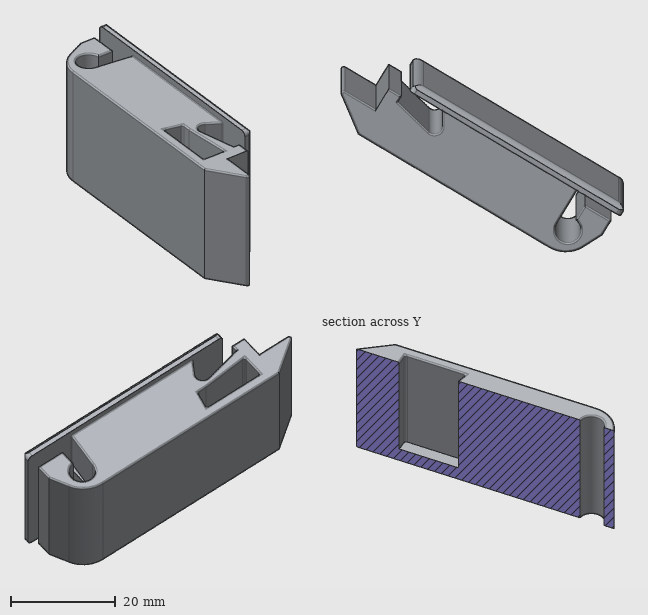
import cadquery as cq
import math

plate_length = 47.0
plate_height = 28.0
plate_front = 12.5
plate_rim = 1.0
plate_dome = 1.0
plate_back = plate_front + plate_rim + plate_dome
plate_corner_radius = 1.0
plate_edge_radius = 2.0

body_height = 25.0
body_top = body_height / 2
body_left = 1.0
body_right = 58.0
edge_radius = 0.3
joint_radius = 0.15

hook_top = 10.6
hook_tip_right = 6.85
hook_flank_top = 7.3
hook_flank_angle = 26.0
hook_bend_radius = 6.2
hook_hole_x = 7.1
hook_hole_y = 4.75
hook_hole_radius = 2.5
neck_left = hook_hole_x + hook_hole_radius

relief_floor = 3.6
relief_width = 0.9

neck_right = 39.8
notch_root = (36.05, 6.47)
notch_root_radius = 1.55
notch_end = (47.8, 9.3)

post_right = 50.6
post_top = hook_top
nose_back = 5.87
nose_front_start = 51.0
nose_angle = math.radians(36.0)
nose_point = nose_front_start + nose_back / math.tan(nose_angle)
nose_tip_radius = (nose_point - body_right) / (1 / math.tan(nose_angle / 2) - 1)

pocket_right = 48.0
pocket_front = 2.05
pocket_back_left = 5.98
pocket_back_right = 6.95
pocket_corners = [
    (35.0, pocket_front),
    (pocket_right, pocket_front),
    (pocket_right, pocket_back_right),
    (35.9, pocket_back_left),
]
pocket_kink = (37.9, pocket_back_left)
pocket_floor_thickness = 3.0
pocket_floor = pocket_floor_thickness - body_top
pocket_corner_radius = 0.5


def prism(sketch, z_low, z_high):
    """Extrude a closed XY outline between two Z levels."""
    return sketch.extrude(z_high - z_low).translate((0, 0, z_low))


def domed_section(plane, start, end):
    """Plate cross-section whose back edges are arcs running tangent into the flat back."""
    rim_back = plate_front + plate_rim
    r = plate_edge_radius
    centre_y = plate_back - r
    half_angle = math.acos((r - plate_dome) / r) / 2
    inset = math.sqrt(r**2 - (r - plate_dome) ** 2)
    mid_inset = inset - r * math.sin(half_angle)
    mid_y = centre_y + r * math.cos(half_angle)
    return (
        cq.Workplane(plane)
        .moveTo(start, plate_front)
        .lineTo(end, plate_front)
        .lineTo(end, rim_back)
        .threePointArc((end - mid_inset, mid_y), (end - inset, plate_back))
        .lineTo(start + inset, plate_back)
        .threePointArc((start + mid_inset, mid_y), (start, rim_back))
        .close()
    )


def make_plate():
    half = plate_height / 2
    along_x = prism(domed_section("XY", 0, plate_length), -half, half)
    zy_plane = cq.Plane(origin=(0, 0, 0), xDir=(0, 0, 1), normal=(-1, 0, 0))
    along_z = domed_section(zy_plane, -half, half).extrude(-plate_length)
    rounded = (
        cq.Workplane("XY")
        .box(plate_length, plate_back, plate_height, centered=(False, False, True))
        .edges("|Y")
        .fillet(plate_corner_radius)
    )
    return along_x.intersect(along_z).intersect(rounded)


def round_edge_at(solid, x, y, radius):
    """Round the vertical edge standing at (x, y)."""
    reach = 0.01
    box = cq.selectors.BoxSelector(
        (x - reach, y - reach, -plate_height), (x + reach, y + reach, plate_height)
    )
    return solid.edges("|Z").edges(box).fillet(radius)


def make_body():
    flank_foot = body_left + hook_flank_top * math.tan(math.radians(hook_flank_angle))
    hole_entry_y = hook_hole_y + math.sqrt(
        hook_hole_radius**2 - (hook_tip_right - hook_hole_x) ** 2
    )
    hole_far = math.radians(225)
    hole_mid = (
        hook_hole_x + hook_hole_radius * math.cos(hole_far),
        hook_hole_y + hook_hole_radius * math.sin(hole_far),
    )
    outline = (
        cq.Workplane("XY")
        .moveTo(flank_foot, 0)
        .lineTo(nose_front_start, 0)
        .lineTo(nose_point, nose_back)
        .lineTo(post_right, nose_back)
        .lineTo(post_right, post_top)
        .lineTo(notch_end[0], post_top)
        .lineTo(*notch_end)
        .lineTo(*notch_root)
        .lineTo(neck_right, plate_front)
        .lineTo(neck_left, plate_front)
        .lineTo(neck_left, hook_hole_y)
        .threePointArc(hole_mid, (hook_tip_right, hole_entry_y))
        .lineTo(hook_tip_right, hook_top)
        .lineTo(body_left, hook_top)
        .lineTo(body_left, hook_flank_top)
        .close()
    )
    body = prism(outline, -body_top, body_top)
    body = round_edge_at(body, flank_foot, 0, hook_bend_radius)
    body = round_edge_at(body, nose_point, nose_back, nose_tip_radius)
    return round_edge_at(body, *notch_root, notch_root_radius)


def make_relief():
    outline = (
        cq.Workplane("XY")
        .moveTo(neck_left, hook_hole_y)
        .lineTo(neck_left + relief_width, plate_front)
        .lineTo(neck_left, plate_front)
        .close()
    )
    return prism(outline, relief_floor, body_top)


def make_pocket():
    front_left, front_right, back_right, back_left = pocket_corners
    walls = [front_left, front_right, back_right, pocket_kink, back_left]
    outline = cq.Workplane("XY").polyline(walls).close()
    return prism(outline, pocket_floor, body_top)


def round_rims(body):
    """Round the upper and lower rims, leaving the post side, nose ledge and plate joint sharp."""
    tolerance = 1e-3
    sharp = [(post_right, None), (None, nose_back), (None, plate_front)]

    def is_rounded(edge):
        box = edge.BoundingBox()
        for x, y in sharp:
            on_x = x is None or max(abs(box.xmin - x), abs(box.xmax - x)) < tolerance
            on_y = y is None or max(abs(box.ymin - y), abs(box.ymax - y)) < tolerance
            if on_x and on_y:
                return False
        return True

    rims = body.faces("<Z or >Z").edges().filter(is_rounded)
    return rims.fillet(edge_radius)


def round_pocket_corners(body):
    """Round the upright inner corners of the pocket."""
    for x, y in pocket_corners:
        body = round_edge_at(body, x, y, pocket_corner_radius)
    return body


def round_joint(solid):
    """Fillet the upper and lower seams between the plate and the neck of the body."""
    tolerance = 0.01
    seam = cq.selectors.BoxSelector(
        (0, plate_front - tolerance, -body_top - tolerance),
        (plate_length, plate_front + tolerance, body_top + tolerance),
    )
    return solid.edges("|X").edges(seam).fillet(joint_radius)


body = round_rims(make_body().cut(make_relief()).cut(make_pocket()))
body = round_pocket_corners(body)
result = round_joint(make_plate().union(body))